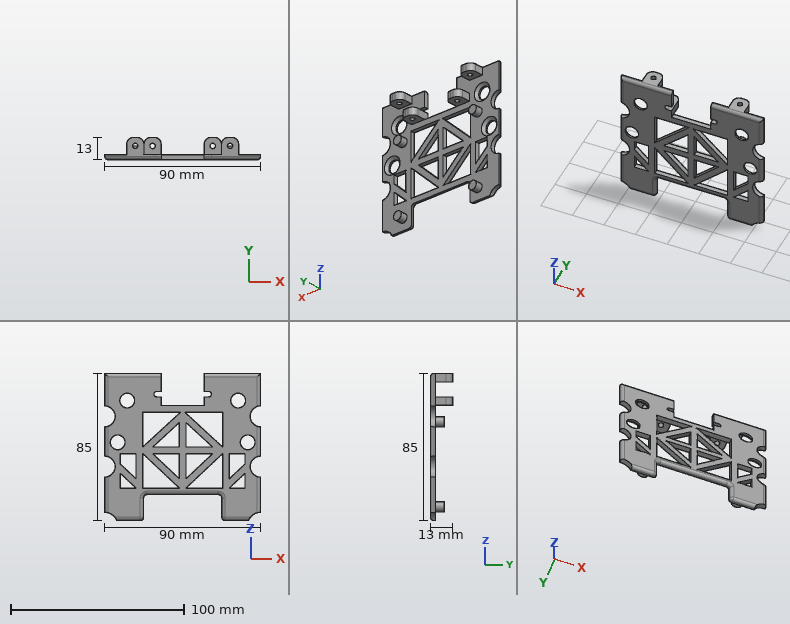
import cadquery as cq
import math

WIDTH = 90.0
HEIGHT = 85.0
THICKNESS = 3.0
EDGE_RADIUS = 2.0
HALF_WIDTH = WIDTH / 2

NOTCH_HALF_WIDTH = 12.35
NOTCH_FLOOR_Z = 66.5
SLOT_WIDTH = 3.0
SLOT_END_X = 16.5

OPENING_HALF_WIDTH = 22.5
OPENING_HEIGHT = 15.0

SCALLOP_RADIUS = 6.0
SCALLOP_HEIGHTS = (31.2, 60.2)
CORNER_SCALLOP_RADIUS = 7.5
CORNER_SCALLOP_Z = -2.7

HOLE_DIAMETER = 8.4
COUNTERSINK_DEPTH = 1.8
HOLE_CENTRES = ((32.0, 69.3), (37.5, 45.2))

BAR = 4.0
TRUSS_HALF_WIDTH = 23.0
TRUSS_MID_Z = 40.6
TRUSS_TOP_Z = NOTCH_FLOOR_Z - BAR
TRUSS_BOTTOM_Z = 18.85
UPPER_TIP_X = 1.4
SIDE_WINDOW_OUTER_X = 35.9

LUG_WIDTH = 10.0
LUG_THICKNESS = 5.0
LUG_LENGTH = 10.0
LUG_CORNER_RADIUS = 4.0
LUG_HOLE_DIAMETER = 3.0
LUG_HOLE_TO_TIP = LUG_WIDTH / 2
LUG_TIP_Y = THICKNESS + LUG_LENGTH

SLOT_Z = NOTCH_FLOOR_Z + LUG_THICKNESS + SLOT_WIDTH / 2

PIN_DIAMETER = 6.0
PIN_LENGTH = 5.0
PIN_X = 29.0
PIN_SPACING_Z = 49.0
PIN_BOTTOM_Z = 8.0


def front_plane(y=0.0):
    """Sketch plane at depth y, with local x along X and local y along Z; its normal is -Y."""
    return cq.Workplane("XZ", origin=(0, y, 0))


def both_sides(shape):
    """The shape together with its mirror image across x = 0."""
    return shape.union(shape.mirror("YZ"))


def through_box(x_min, x_max, z_min, z_max):
    """Box through the plate thickness."""
    return cq.Workplane("XY").box(
        x_max - x_min, THICKNESS, z_max - z_min, centered=False
    ).translate((x_min, 0, z_min))


def through_cylinder(x, z, radius):
    """Cylinder through the plate thickness."""
    return front_plane().center(x, z).circle(radius).extrude(-THICKNESS)


def through_polygon(points):
    """Prism through the plate thickness."""
    return front_plane().polyline(points).close().extrude(-THICKNESS)


def make_blank():
    """Plate with the bottom opening and rounded front edges, before the sharp-edged cuts."""
    blank = through_box(-HALF_WIDTH, HALF_WIDTH, 0, HEIGHT)
    blank = blank.cut(through_box(-OPENING_HALF_WIDTH, OPENING_HALF_WIDTH, 0, OPENING_HEIGHT))
    margin = 0.1
    inner_corners = cq.selectors.BoxSelector(
        (-OPENING_HALF_WIDTH - margin, -margin, OPENING_HEIGHT - margin),
        (OPENING_HALF_WIDTH + margin, THICKNESS + margin, OPENING_HEIGHT + margin),
    )
    blank = blank.edges("|Y").edges(inner_corners).fillet(EDGE_RADIUS)
    foot_corners = cq.selectors.BoxSelector(
        (-OPENING_HALF_WIDTH - margin, -margin, -margin),
        (OPENING_HALF_WIDTH + margin, THICKNESS + margin, margin),
    )
    rounded_edges = blank.edges("|Y").edges(foot_corners).add(blank.faces("<Y").edges())
    return blank.newObject(rounded_edges.vals()).fillet(EDGE_RADIUS)


def make_notch():
    """Top notch with its two round-ended side slots."""
    notch = through_box(-NOTCH_HALF_WIDTH, NOTCH_HALF_WIDTH, NOTCH_FLOOR_Z, HEIGHT)
    slots = (
        front_plane().center(0, SLOT_Z).slot2D(2 * SLOT_END_X, SLOT_WIDTH).extrude(-THICKNESS)
    )
    return notch.union(slots)


def make_scallops():
    """Round cuts centred on the side edges."""
    cuts = through_cylinder(HALF_WIDTH, CORNER_SCALLOP_Z, CORNER_SCALLOP_RADIUS)
    for z in SCALLOP_HEIGHTS:
        cuts = cuts.union(through_cylinder(HALF_WIDTH, z, SCALLOP_RADIUS))
    return both_sides(cuts)


def countersink(x, z):
    """Cone that widens at 45 degrees toward the back face."""
    small_radius = HOLE_DIAMETER / 2
    start = cq.Vector(x, THICKNESS - COUNTERSINK_DEPTH, z)
    return cq.Workplane("XY").add(
        cq.Solid.makeCone(
            small_radius,
            small_radius + COUNTERSINK_DEPTH,
            COUNTERSINK_DEPTH,
            start,
            cq.Vector(0, 1, 0),
        )
    )


def make_holes():
    """Round through holes with countersunk backs."""
    cuts = cq.Workplane("XY")
    for x, z in HOLE_CENTRES:
        cuts = cuts.add(through_cylinder(x, z, HOLE_DIAMETER / 2).union(countersink(x, z)))
    return both_sides(cuts.combine())


def bar_windows(tip_x, tip_z, rim_z):
    """Two triangular windows on the +X side, on either side of one diagonal bar.

    The bar's outer edge runs from the outer end of the middle rail (at rim_z) to (tip_x, tip_z).
    """
    rise = tip_z - rim_z
    run = TRUSS_HALF_WIDTH - tip_x
    slope = rise / run
    shift = BAR * math.hypot(rise, run) / abs(rise)
    inner_x = TRUSS_HALF_WIDTH - shift
    outer = through_polygon(
        [(TRUSS_HALF_WIDTH, rim_z), (TRUSS_HALF_WIDTH, tip_z), (tip_x, tip_z)]
    )
    inner = through_polygon(
        [
            (inner_x, rim_z),
            (BAR / 2, rim_z),
            (BAR / 2, rim_z + slope * (inner_x - BAR / 2)),
        ]
    )
    return outer.union(inner)


def side_windows(rim_z):
    """Triangle and trapezoid beside the lower truss, split by a bar parallel to its diagonal."""
    inner_x = TRUSS_HALF_WIDTH + BAR
    outer_x = SIDE_WINDOW_OUTER_X
    rise = rim_z - TRUSS_BOTTOM_Z
    run = TRUSS_HALF_WIDTH - BAR / 2
    shift = BAR * math.hypot(rise, run) / run
    corner_z = TRUSS_BOTTOM_Z + (outer_x - inner_x) * rise / run
    triangle = through_polygon(
        [(inner_x, TRUSS_BOTTOM_Z), (outer_x, TRUSS_BOTTOM_Z), (outer_x, corner_z)]
    )
    trapezoid = through_polygon(
        [
            (inner_x, TRUSS_BOTTOM_Z + shift),
            (outer_x, corner_z + shift),
            (outer_x, rim_z),
            (inner_x, rim_z),
        ]
    )
    return triangle.union(trapezoid)


def make_windows():
    """All truss windows."""
    upper_rim = TRUSS_MID_Z + BAR / 2
    lower_rim = TRUSS_MID_Z - BAR / 2
    windows = bar_windows(UPPER_TIP_X, TRUSS_TOP_Z, upper_rim)
    windows = windows.union(bar_windows(BAR / 2, TRUSS_BOTTOM_Z, lower_rim))
    windows = windows.union(side_windows(lower_rim))
    return both_sides(windows)


def make_lug(x_min, z_min):
    """Lug standing on the back face, with rounded tip corners and a vertical hole."""
    centre_x = x_min + LUG_WIDTH / 2
    lug = (
        cq.Workplane("XY")
        .box(LUG_WIDTH, LUG_LENGTH, LUG_THICKNESS, centered=(True, False, False))
        .edges("|Z and >Y")
        .fillet(LUG_CORNER_RADIUS)
        .translate((centre_x, THICKNESS, z_min))
    )
    hole = (
        cq.Workplane("XY", origin=(centre_x, LUG_TIP_Y - LUG_HOLE_TO_TIP, z_min))
        .circle(LUG_HOLE_DIAMETER / 2)
        .extrude(LUG_THICKNESS)
    )
    return lug.cut(hole)


def make_lugs():
    """Inner lugs level with the notch floor, outer lugs level with the top edge."""
    inner = make_lug(NOTCH_HALF_WIDTH, NOTCH_FLOOR_Z)
    outer = make_lug(NOTCH_HALF_WIDTH + LUG_WIDTH, HEIGHT - LUG_THICKNESS)
    return both_sides(inner.union(outer))


def make_pins():
    """Four standoff pins in a rectangle."""
    corners = [
        (x, z)
        for x in (-PIN_X, PIN_X)
        for z in (PIN_BOTTOM_Z, PIN_BOTTOM_Z + PIN_SPACING_Z)
    ]
    return front_plane(THICKNESS).pushPoints(corners).circle(PIN_DIAMETER / 2).extrude(-PIN_LENGTH)


plate = make_blank()
for cut in (make_notch(), make_scallops(), make_holes(), make_windows()):
    plate = plate.cut(cut)

result = plate.union(make_lugs()).union(make_pins())